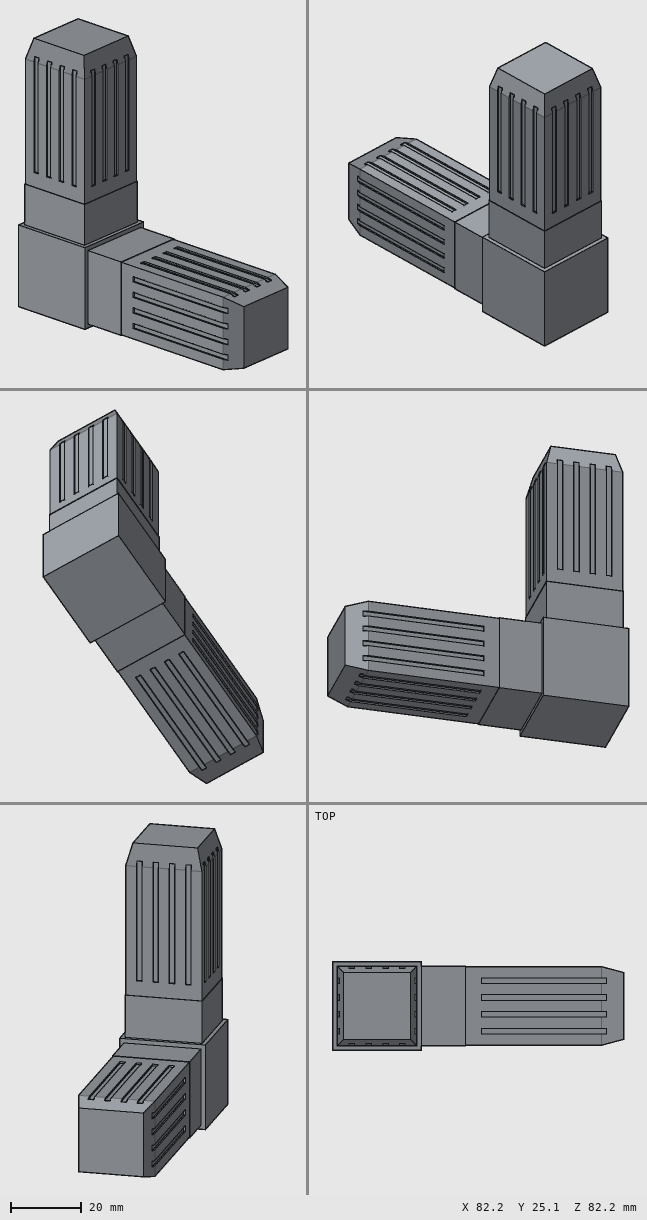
import cadquery as cq

block_size = 25.1

overall_length = 82.2
arm_length = overall_length - block_size
neck_width = 22.5
neck_length = 12.5
shank_width = 22.3
tip_length = 6.3
tip_width = 18.9
shank_length = arm_length - neck_length - tip_length

groove_count = 4
groove_pitch = 4.8
groove_width = 1.6
groove_length = 35.35
groove_end_gap = 4.85
groove_depth = 0.5


def groove_set():
    """Cutters for the grooves of one arm side, facing +X."""
    start_height = arm_length - groove_end_gap - groove_length
    return (
        cq.Workplane("XY", origin=(shank_width / 2 - groove_depth / 2, 0, start_height))
        .rarray(0.8, groove_pitch, 1, groove_count)
        .rect(groove_depth, groove_width)
        .extrude(groove_length)
    )


def make_arm():
    """One arm rising along +Z from the origin."""
    arm = (
        cq.Workplane("XY")
        .rect(neck_width, neck_width)
        .extrude(neck_length)
        .faces(">Z")
        .workplane()
        .rect(shank_width, shank_width)
        .extrude(shank_length)
    )
    tip = (
        cq.Workplane("XY", origin=(0, 0, neck_length + shank_length))
        .rect(shank_width, shank_width)
        .workplane(offset=tip_length)
        .rect(tip_width, tip_width)
        .loft(ruled=True)
    )
    arm = arm.union(tip)
    for side_angle in (0, 90, 180, 270):
        arm = arm.cut(groove_set().rotate((0, 0, 0), (0, 0, 1), side_angle))
    return arm


block = cq.Workplane("XY").box(block_size, block_size, block_size)
upright_arm = make_arm().translate((0, 0, block_size / 2))
level_arm = upright_arm.rotate((0, 0, 0), (0, 1, 0), 90)

result = block.union(upright_arm).union(level_arm)